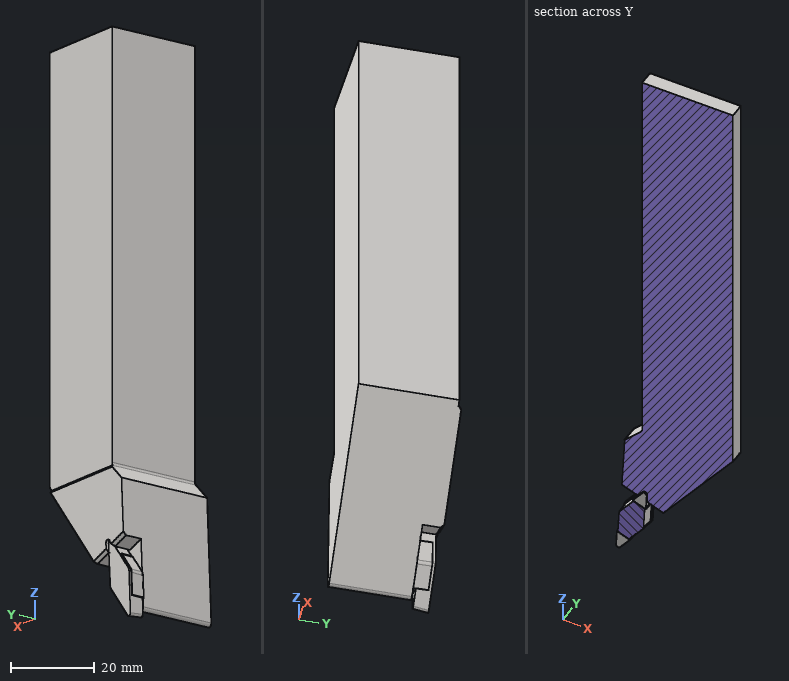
import cadquery as cq
import math

shank_size = 25.0
total_height = 151.35
tip_overhang = 7.35
side_tilt = 3.0
insert_angle = 35.0
flank_tilt = side_tilt + insert_angle

head_step = 4.85
shoulder_height = 40.3
shoulder_fillet = 1.25
flank_height = 41.0
nose_radius = 0.9
pad_thickness = 0.8
pad_top = 40.0
pocket_floor = 20.5
pocket_wall_offset = 8.6

insert_side = 13.4
insert_top = shank_size
tip_radius = 0.65
waist_radius = 1.75
clearance_angle = 2.0
rim_thickness = 0.8
end_thickness = 3.9
waist_inset = 0.25
waist_half_length = 6.2
cutter_size = 60.0


def direction(tilt):
    """Unit vector in the XZ plane, leaning from +Z toward +X by tilt degrees."""
    angle = math.radians(tilt)
    return cq.Vector(math.sin(angle), math.cos(angle))


half_angle = math.radians(insert_angle / 2)
axis_tilt = side_tilt + insert_angle / 2
axis = direction(axis_tilt)
tip_arc_centre = cq.Vector(tip_radius - tip_overhang, tip_radius)
sharp_tip = tip_arc_centre - axis * (tip_radius / math.sin(half_angle))
half_length = insert_side * math.cos(half_angle)
half_width = insert_side * math.sin(half_angle)
insert_centre = sharp_tip + axis * half_length


def insert_plane(y):
    """Plane facing -Y, centred on the insert at Y = y; its local Y runs along the insert axis."""
    return cq.Plane(
        origin=(insert_centre.x, y, insert_centre.y),
        xDir=(axis.y, 0, -axis.x),
        normal=(0, -1, 0),
    )


def rhombus(y, depth, inset=0.0, taper=0.0):
    """Rhombic plate with rounded corners, going from y toward -Y."""
    tip = half_length - inset / math.sin(half_angle)
    waist = half_width - inset / math.cos(half_angle)
    plate = (
        cq.Workplane(insert_plane(y))
        .polyline([(0, -tip), (waist, 0), (0, tip), (-waist, 0)])
        .close()
        .extrude(depth, taper=taper)
    )
    probe = cq.Workplane(insert_plane(y - depth / 2))
    for x, z, radius in [
        (0, -tip, tip_radius),
        (0, tip, tip_radius),
        (waist, 0, waist_radius),
        (-waist, 0, waist_radius),
    ]:
        corner = probe.plane.toWorldCoords((x, z))
        plate = plate.edges(cq.NearestToPointSelector(corner.toTuple())).fillet(radius)
    return plate


def make_insert():
    ends = rhombus(insert_top, end_thickness, taper=clearance_angle)
    groove_top = insert_top - rim_thickness
    waist_block = (
        cq.Workplane(insert_plane(groove_top))
        .rect(cutter_size, 2 * waist_half_length)
        .extrude(cutter_size)
    )
    waist = rhombus(groove_top, groove_top - pocket_floor, inset=waist_inset, taper=clearance_angle)
    waist = waist.intersect(waist_block)
    return ends.cut(waist_block).union(waist)


def make_holder():
    side_top = shoulder_height - head_step
    side = direction(side_tilt)
    flank = direction(flank_tilt)
    side_start = cq.Vector(-head_step, side_top)
    flank_start = cq.Vector(shank_size, flank_height)
    gap = side_start - flank_start
    reach = gap.cross(flank).z / side.cross(flank).z
    nose = side_start - side * reach

    outline = [
        (0, total_height),
        (0, shoulder_height),
        side_start.toTuple()[:2],
        nose.toTuple()[:2],
        flank_start.toTuple()[:2],
        (shank_size, total_height),
    ]
    full_depth = shank_size + pad_thickness
    body = cq.Workplane("XZ").polyline(outline).close().extrude(-full_depth)
    for x, z, radius in [(0, shoulder_height, shoulder_fillet), (nose.x, nose.y, nose_radius)]:
        body = body.edges(cq.NearestToPointSelector((x, full_depth / 2, z))).fillet(radius)

    above_pad = (
        cq.Workplane("YZ", origin=(-cutter_size / 2, 0, 0))
        .polyline([
            (shank_size, pad_top),
            (full_depth, pad_top - pad_thickness),
            (full_depth, total_height),
            (shank_size, total_height),
        ])
        .close()
        .extrude(2 * cutter_size)
    )

    seat_depth = full_depth - pocket_floor
    seat = (
        cq.Workplane(insert_plane(full_depth))
        .center(0, pocket_wall_offset - cutter_size / 2)
        .rect(cutter_size, cutter_size)
        .extrude(seat_depth)
    )
    body = body.cut(above_pad).cut(seat)
    wall_edge = insert_plane(full_depth).toWorldCoords((0, pocket_wall_offset))
    body = body.edges(cq.NearestToPointSelector(wall_edge.toTuple())).chamfer(pad_thickness)
    tip_recess = rhombus(full_depth, seat_depth)
    return body.cut(tip_recess)


holder = make_holder()
insert = make_insert()
result = cq.Compound.makeCompound([holder.val(), insert.val()])